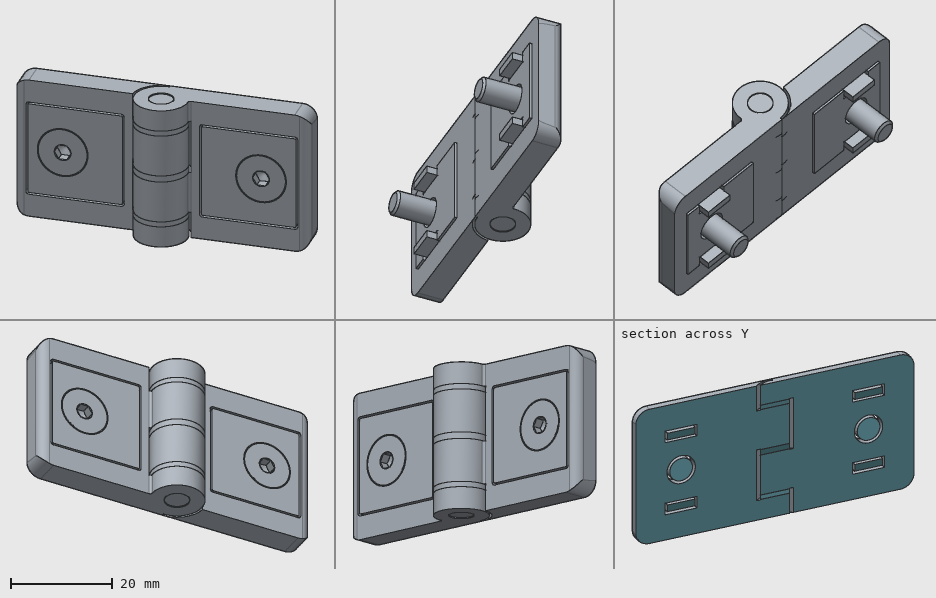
import cadquery as cq
import math


length = 60.6
height = 29.8
half_length = length / 2
half_height = height / 2
corner_radius = 3.0
end_draft = 1.0
end_fillet = 2.0

barrel_radius = 5.5
knuckle_gap = 0.5
relief_radius = barrel_radius + knuckle_gap
pin_radius = 5.0 / 2
pin_recess = 0.25
end_knuckle_inner = 10.5
middle_knuckle_outer = 9.4
middle_knuckle_inner = 0.65

back_y = relief_radius
front_y = knuckle_gap
plate_thickness = back_y - front_y

insert_center_x = 17.8
insert_size = 19.4
insert_depth = 3.0
insert_corner = 0.25
insert_gap = 0.395
pocket_size = insert_size + 2 * insert_gap
pocket_corner = insert_corner + insert_gap
insert_back_y = front_y + insert_depth

pad_size = 18.4
pad_thickness = 0.5
pad_back_y = back_y + pad_thickness
tab_width = 6.05
tab_thickness = 1.6
tab_center_z = 7.95
tab_projection = 2.55
tab_back_y = back_y + tab_projection
slot_width = tab_width + 2 * insert_gap
slot_inner_z = tab_center_z - tab_thickness / 2 - insert_gap
slot_outer_z = pad_size / 2

screw_center_x = 20.35
screw_radius = 5.0 / 2
screw_projection = 8.5
screw_tip_y = back_y + screw_projection
screw_tip_chamfer = 0.5
head_radius = 10.0 / 2
countersink_radius = 10.4 / 2
insert_hole_radius = 5.3 / 2
leaf_hole_radius = insert_hole_radius + insert_gap
socket_sides = 6
socket_corner_diameter = 3.45
socket_depth = 2.0
socket_point_depth = 0.85
socket_chamfer_depth = 0.1


def block(center_x, width, y_start, y_end, z_start, z_end):
    """Box centred on center_x, between the given Y and Z limits."""
    return (
        cq.Workplane("XY")
        .box(width, y_end - y_start, z_end - z_start, centered=(True, False, False))
        .translate((center_x, y_start, z_start))
    )


def revolved_about_y(center_x, outline):
    """Solid of revolution about a line along Y; outline holds (radius, y) points."""
    return (
        cq.Workplane("XY")
        .polyline(outline)
        .close()
        .revolve(360, (0, 0, 0), (0, 1, 0))
        .translate((center_x, 0, 0))
    )


def turned_about_y(body):
    return body.rotate((0, 0, 0), (0, 1, 0), 180)


relief_start_x = -math.sqrt(relief_radius**2 - front_y**2)

diagonal = math.sqrt(0.5)
relief_middle = relief_radius * diagonal


def leaf_plate():
    front_end_x = -half_length + plate_thickness * math.tan(math.radians(end_draft))
    plate = (
        cq.Workplane("XY", origin=(0, 0, -half_height))
        .moveTo(0, back_y)
        .lineTo(-half_length, back_y)
        .lineTo(front_end_x, front_y)
        .lineTo(relief_start_x, front_y)
        .threePointArc((-relief_middle, relief_middle), (0, back_y))
        .close()
        .extrude(height)
        .edges(cq.selectors.NearestToPointSelector((front_end_x, front_y, 0)))
        .fillet(end_fillet)
    )
    rounded_blank = (
        block(0, length, front_y, back_y, -half_height, half_height)
        .edges("|Y and <X")
        .fillet(corner_radius)
    )
    return plate.intersect(rounded_blank)


def knuckle(z_start, z_end):
    """Barrel section with its concave fillet to the front face and its web to the plate."""
    fillet_middle_x = relief_start_x + knuckle_gap * diagonal
    fillet_middle_y = knuckle_gap * diagonal
    barrel_middle = barrel_radius * diagonal
    return (
        cq.Workplane("XY", origin=(0, 0, z_start))
        .moveTo(relief_start_x, front_y)
        .threePointArc((fillet_middle_x, fillet_middle_y), (-barrel_radius, 0))
        .threePointArc((barrel_middle, -barrel_middle), (0, barrel_radius))
        .lineTo(0, back_y)
        .threePointArc((-relief_middle, relief_middle), (relief_start_x, front_y))
        .close()
        .extrude(z_end - z_start)
    )


def left_leaf():
    leaf = leaf_plate()
    leaf = leaf.union(knuckle(-half_height, -end_knuckle_inner))
    leaf = leaf.union(knuckle(middle_knuckle_inner, middle_knuckle_outer))
    pin_hole = cq.Workplane("XY").circle(pin_radius).extrude(half_height, both=True)
    leaf = leaf.cut(pin_hole)

    half_pad = pad_size / 2
    leaf = leaf.union(block(-insert_center_x, pad_size, back_y, pad_back_y, -half_pad, half_pad))

    half_pocket = pocket_size / 2
    pocket = (
        block(-insert_center_x, pocket_size, front_y, insert_back_y, -half_pocket, half_pocket)
        .edges("|Y")
        .fillet(pocket_corner)
    )
    leaf = leaf.cut(pocket)

    slot = block(-screw_center_x, slot_width, insert_back_y, pad_back_y, slot_inner_z, slot_outer_z)
    leaf = leaf.cut(slot).cut(slot.mirror("XY"))

    screw_hole = revolved_about_y(-screw_center_x, [
        (0, insert_back_y),
        (leaf_hole_radius, insert_back_y),
        (leaf_hole_radius, pad_back_y),
        (0, pad_back_y),
    ])
    return leaf.cut(screw_hole)


def left_insert():
    half_size = insert_size / 2
    insert = (
        block(-insert_center_x, insert_size, front_y, insert_back_y, -half_size, half_size)
        .edges("|Y")
        .fillet(insert_corner)
    )
    tab_start_z = tab_center_z - tab_thickness / 2
    tab_end_z = tab_center_z + tab_thickness / 2
    tab = block(-screw_center_x, tab_width, insert_back_y, tab_back_y, tab_start_z, tab_end_z)
    insert = insert.union(tab).union(tab.mirror("XY"))

    countersunk_hole = revolved_about_y(-screw_center_x, [
        (0, front_y),
        (countersink_radius, front_y),
        (insert_hole_radius, front_y + countersink_radius - insert_hole_radius),
        (insert_hole_radius, insert_back_y),
        (0, insert_back_y),
    ])
    return insert.cut(countersunk_hole)


def left_screw():
    body = revolved_about_y(-screw_center_x, [
        (0, front_y),
        (head_radius, front_y),
        (screw_radius, front_y + head_radius - screw_radius),
        (screw_radius, screw_tip_y - screw_tip_chamfer),
        (screw_radius - screw_tip_chamfer, screw_tip_y),
        (0, screw_tip_y),
    ])
    socket_bottom = socket_depth + socket_point_depth
    hexagon = (
        cq.Workplane("XZ", origin=(-screw_center_x, front_y, 0))
        .polygon(socket_sides, socket_corner_diameter)
        .extrude(-socket_bottom)
    )
    socket_corner_radius = socket_corner_diameter / 2
    drilled_space = revolved_about_y(-screw_center_x, [
        (0, front_y),
        (socket_corner_radius, front_y),
        (socket_corner_radius, front_y + socket_depth),
        (0, front_y + socket_bottom),
    ])
    flat_radius = socket_corner_radius * math.cos(math.pi / socket_sides)
    chamfer_y = front_y + socket_chamfer_depth
    mouth = revolved_about_y(-screw_center_x, [
        (0, front_y),
        (socket_corner_radius, front_y),
        (flat_radius, chamfer_y),
        (0, chamfer_y),
    ])
    return body.cut(hexagon.intersect(drilled_space)).cut(mouth)


def washer(z_start, z_end):
    return (
        cq.Workplane("XY", origin=(0, 0, z_start))
        .circle(barrel_radius)
        .circle(pin_radius)
        .extrude(z_end - z_start)
    )


hinge_pin = cq.Workplane("XY").circle(pin_radius).extrude(half_height - pin_recess, both=True)

washer_levels = [
    (middle_knuckle_outer, end_knuckle_inner),
    (-middle_knuckle_inner, middle_knuckle_inner),
    (-end_knuckle_inner, -middle_knuckle_outer),
]
washers = [washer(z_start, z_end) for z_start, z_end in washer_levels]

left_half = [left_leaf(), left_insert(), left_screw()]
right_half = [turned_about_y(body) for body in left_half]

bodies = [hinge_pin] + washers + left_half + right_half
result = cq.Compound.makeCompound([body.val() for body in bodies])